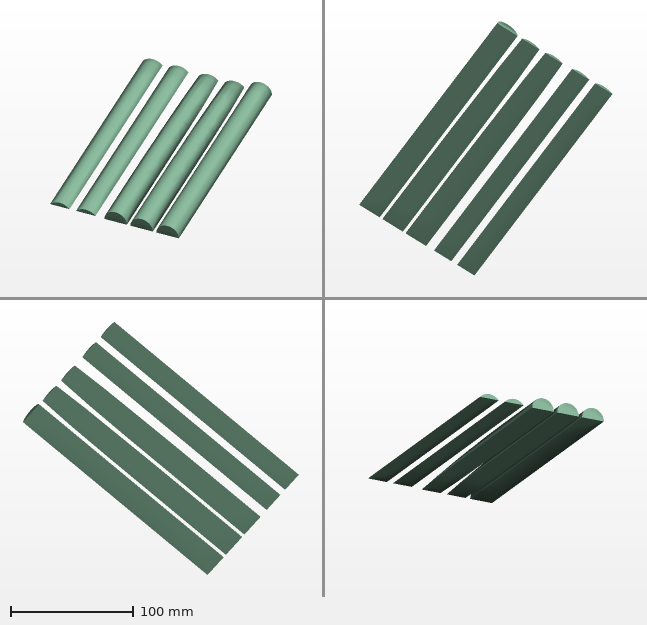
import cadquery as cq
import math

LENGTH = 200.0
SPACING = 23.0
GROUP_SPACING = 26.5

ROD_WIDTH = 20.0
ROD_FLAT = 2.0
ROD_HEIGHT = 10.0

TAPER_START = 56.0
END_HEIGHT = 4.0
END_WIDTH = 17.2
CREST_POWER = 2
WIDTH_POWER = 5
TAPER_STEPS = 8

STRIP_BASE = 0.5
STRIP_HEIGHT = END_HEIGHT
STRIP_WIDTH = END_WIDTH
STRIP_FLAT = 1.0

PLAIN_ROD_X = 0.0
TAPERED_ROD_XS = [PLAIN_ROD_X - 2 * SPACING, PLAIN_ROD_X - SPACING]
INNER_STRIP_X = TAPERED_ROD_XS[0] - GROUP_SPACING
STRIP_XS = [INNER_STRIP_X - SPACING, INNER_STRIP_X]


def arc_centre_height(width, height, flat):
    """Centre height of the arc from the base corners to the edges of the crest flat."""
    return (height**2 + (flat / 2)**2 - (width / 2)**2) / (2 * height)


def crested_section(width, height, flat, y=0.0, base=0.0):
    """Closed section in XZ: flat base, round flanks on one circle, flat crest."""
    centre = arc_centre_height(width, height, flat)
    radius = math.hypot(width / 2, centre)
    base_angle = math.atan2(-centre, width / 2)
    crest_angle = math.atan2(height - centre, flat / 2)
    middle_angle = (base_angle + crest_angle) / 2
    middle_x = radius * math.cos(middle_angle)
    middle_z = base + centre + radius * math.sin(middle_angle)
    crest_z = base + height
    return (
        cq.Workplane("XZ", origin=(0, y, 0))
        .moveTo(-width / 2, base)
        .lineTo(width / 2, base)
        .threePointArc((middle_x, middle_z), (flat / 2, crest_z))
        .lineTo(-flat / 2, crest_z)
        .threePointArc((-middle_x, middle_z), (-width / 2, base))
        .close()
    )


def make_strip(x):
    section = crested_section(STRIP_WIDTH, STRIP_HEIGHT, STRIP_FLAT, base=STRIP_BASE)
    return section.extrude(-LENGTH).translate((x, 0, 0))


def make_rod(x):
    section = crested_section(ROD_WIDTH, ROD_HEIGHT, ROD_FLAT)
    return section.extrude(-LENGTH).translate((x, 0, 0))


def taper_section(y):
    """Section of a tapered rod: the crest falls along a parabola, the width shrinks late."""
    progress = (y - TAPER_START) / (LENGTH - TAPER_START)
    height = ROD_HEIGHT - (ROD_HEIGHT - END_HEIGHT) * progress**CREST_POWER
    width = ROD_WIDTH - (ROD_WIDTH - END_WIDTH) * progress**WIDTH_POWER
    return crested_section(width, height, ROD_FLAT, y=y)


def make_tapered_rod(x):
    """Constant half-round in front of TAPER_START, lofted taper behind it."""
    front = crested_section(ROD_WIDTH, ROD_HEIGHT, ROD_FLAT).extrude(-TAPER_START)
    step = (LENGTH - TAPER_START) / TAPER_STEPS
    wires = [taper_section(TAPER_START + i * step).val() for i in range(TAPER_STEPS + 1)]
    taper = cq.Workplane(cq.Solid.makeLoft(wires))
    return front.union(taper).translate((x, 0, 0))


strips = [make_strip(x) for x in STRIP_XS]
tapered_rods = [make_tapered_rod(x) for x in TAPERED_ROD_XS]
plain_rod = make_rod(PLAIN_ROD_X)

result = cq.Compound.makeCompound([
    *[strip.val() for strip in strips],
    *[rod.solids().val() for rod in tapered_rods],
    plain_rod.val(),
])